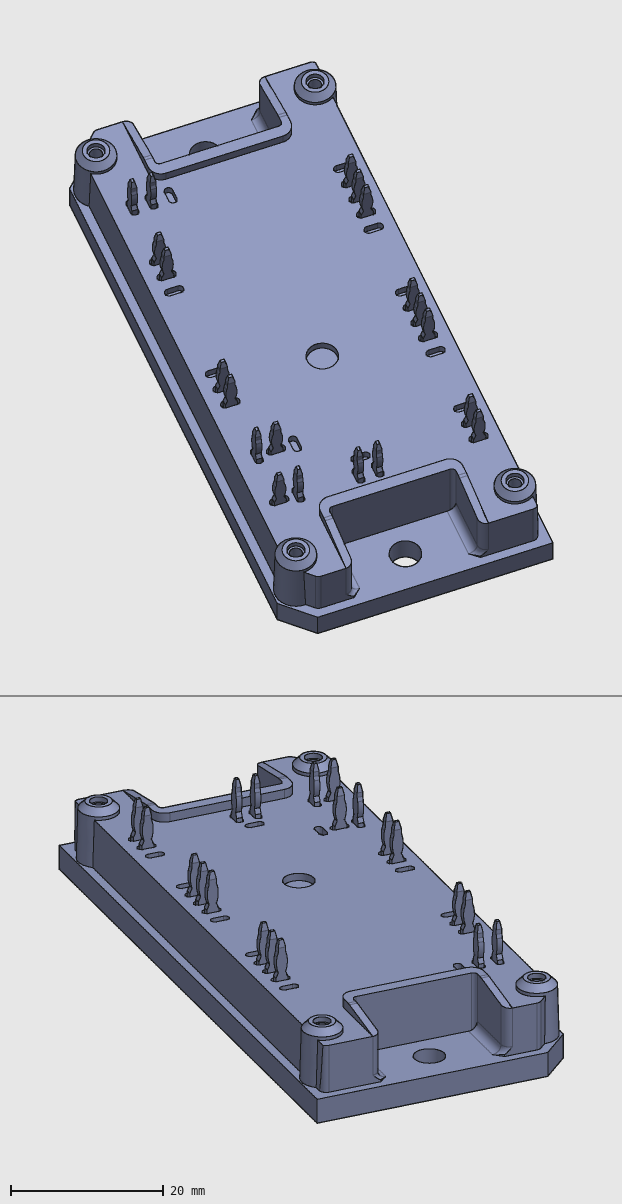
import cadquery as cq
import math

LENGTH = 82.0
WIDTH = 37.4
PLATE_Z = 3.5
PLATE_CHAMFER = 4.1
HOLE_DIAMETER = 4.3
HOLE_X = 35.5

HOUSING_LENGTH = 79.45
HOUSING_WIDTH_BASE = 34.8
HOUSING_WIDTH_TOP = 34.3
HOUSING_Z = 10.4
HOUSING_CHAMFER = 3.4
HOUSING_CORNER_RADIUS = 1.0
DIMPLE_X = 6.0
DIMPLE_DIAMETER = HOLE_DIAMETER
DIMPLE_DEPTH = 1.1

BOSS_X = HOLE_X
BOSS_Y = 15.5
BOSS_BASE_DIAMETER = 5.9
BOSS_TOP_DIAMETER = 5.5
BOSS_SHOULDER_Z = 10.9
BOSS_RIM_DIAMETER = 3.6
BOSS_Z = 11.9
BOSS_BORE_DIAMETER = 2.4
BOSS_BORE_DEPTH = 0.7
BOSS_PILOT_DIAMETER = 1.7
BOSS_PILOT_DEPTH = 4.9

RECESS_X = 30.5
RECESS_HALF_WIDTH = 8.9
RECESS_CORNER_RADIUS = 0.615
MOUTH_RADIUS = 1.15
GAP_WIDTH = 0.5
SKIRT_RADIUS = 1.2

COLLAR_Z = 11.7
COLLAR_BACK_WIDTH = 1.7
COLLAR_SIDE_WIDTH = 1.15
COLLAR_RADIUS = 1.8
RAMP_START_X = 32.1
RAMP_BLEND_RADIUS = 2.9

PIN_PITCH = 2.7
PIN_Z = 16.2
PIN_THICKNESS = 0.8
PIN_FOOT_WIDTH = 1.7
PIN_NECK_WIDTH = 1.1
PIN_BODY_WIDTH = 1.55
PIN_SHOULDER_WIDTH = 1.4
PIN_TIP_WIDTH = 0.6
PIN_TIP_THICKNESS = 0.4
PIN_FOOT_HEIGHT = 0.4
PIN_NECK_HEIGHT = 1.15
PIN_BODY_HEIGHT = 2.4
PIN_SHOULDER_HEIGHT = 3.5
PIN_STEM_HEIGHT = 4.1
PIN_TIP_HEIGHT = 4.75
SLOT_LENGTH = 2.6
SLOT_WIDTH = 1.15
SLOT_DEPTH = 1.1

ROW_Y = 14.1
LEFT_TOP_ROW_X = -22.0
MIDDLE_TOP_ROW_X = 0
LEFT_BOTTOM_ROW_X = -16.65
MIDDLE_BOTTOM_ROW_X = 3.3
COLUMN_X = 26.1
INNER_COLUMN_X = 18.1
SIDE_PIN_Y = -0.2

slots = []


def add_row(first_x, y, filled):
    """Add slots side by side along +X; `filled` tells which of them hold a pin."""
    for index, has_pin in enumerate(filled):
        slots.append((first_x + index * PIN_PITCH, y, 90, has_pin))


add_row(LEFT_TOP_ROW_X, ROW_Y, (False, True, True, True, False))
add_row(MIDDLE_TOP_ROW_X, ROW_Y, (False, True, True, True, False))
add_row(COLUMN_X - 2 * PIN_PITCH, ROW_Y, (False, True, True))
add_row(LEFT_BOTTOM_ROW_X, -ROW_Y, (True, True, False))
add_row(MIDDLE_BOTTOM_ROW_X, -ROW_Y, (False, True, True))

SECOND_Y = -ROW_Y + PIN_PITCH
THIRD_Y = SECOND_Y + PIN_PITCH
slots += [
    (-COLUMN_X, -ROW_Y, 0, True),
    (-COLUMN_X, SECOND_Y, 0, True),
    (-COLUMN_X, THIRD_Y, 0, False),
    (INNER_COLUMN_X, -ROW_Y, 0, True),
    (INNER_COLUMN_X, SECOND_Y, 90, True),
    (INNER_COLUMN_X, THIRD_Y, 0, False),
    (COLUMN_X, -ROW_Y, 90, True),
    (COLUMN_X, SECOND_Y, 0, True),
    (COLUMN_X, SIDE_PIN_Y, 0, True),
    (COLUMN_X, SIDE_PIN_Y - PIN_PITCH, 0, True),
    (COLUMN_X - PIN_PITCH, SIDE_PIN_Y - PIN_PITCH / 2, 90, False),
]


def both_ends(shape):
    """The shape together with its mirror image at the other end of the part."""
    return shape.union(shape.mirror("YZ"))


def clipped_rectangle(length, width, chamfer, height):
    """Block with its two -Y corners cut at 45 degrees."""
    block = cq.Workplane("XY").box(length, width, height, centered=(True, True, False))
    return block.edges("|Z and <Y").chamfer(chamfer)


def make_housing():
    block = clipped_rectangle(HOUSING_LENGTH, HOUSING_WIDTH_BASE, HOUSING_CHAMFER, HOUSING_Z)
    block = block.edges("|Z and (<X or >X)").fillet(HOUSING_CORNER_RADIUS)
    taper = (
        cq.Workplane("YZ")
        .moveTo(-HOUSING_WIDTH_BASE / 2, PLATE_Z)
        .lineTo(HOUSING_WIDTH_BASE / 2, PLATE_Z)
        .lineTo(HOUSING_WIDTH_TOP / 2, HOUSING_Z)
        .lineTo(-HOUSING_WIDTH_TOP / 2, HOUSING_Z)
        .close()
        .extrude(HOUSING_LENGTH / 2, both=True)
    )
    return block.intersect(taper)


def make_collar():
    """Rim around the -X recess, level at the back and sloping down towards the end."""
    half_width = RECESS_HALF_WIDTH + COLLAR_SIDE_WIDTH
    inner_x = -RECESS_X + COLLAR_BACK_WIDTH
    outer_x = -HOUSING_LENGTH / 2
    slab = (
        cq.Workplane("XY", origin=(0, 0, PLATE_Z))
        .moveTo(outer_x, -half_width)
        .lineTo(inner_x, -half_width)
        .lineTo(inner_x, half_width)
        .lineTo(outer_x, half_width)
        .close()
        .extrude(COLLAR_Z - PLATE_Z)
        .edges("|Z and >X")
        .fillet(COLLAR_RADIUS)
    )
    side = (
        cq.Workplane("XZ")
        .moveTo(outer_x, PLATE_Z)
        .lineTo(inner_x, PLATE_Z)
        .lineTo(inner_x, COLLAR_Z)
        .lineTo(-RAMP_START_X, COLLAR_Z)
        .lineTo(outer_x, HOUSING_Z)
        .close()
        .extrude(half_width, both=True)
        .edges(cq.NearestToPointSelector((-RAMP_START_X, 0, COLLAR_Z)))
        .fillet(RAMP_BLEND_RADIUS)
    )
    return slab.intersect(side)


def make_recess():
    """Space cut through the housing and collar at the -X end, with rounded mouth corners."""
    end_x = -HOUSING_LENGTH / 2
    mouth = RECESS_HALF_WIDTH + MOUTH_RADIUS
    arc_x = end_x + MOUTH_RADIUS
    mid = MOUTH_RADIUS * math.sqrt(0.5)
    outline = (
        cq.Workplane("XY", origin=(0, 0, PLATE_Z))
        .moveTo(end_x, -mouth)
        .threePointArc((arc_x - mid, -mouth + mid), (arc_x, -RECESS_HALF_WIDTH))
        .lineTo(-RECESS_X, -RECESS_HALF_WIDTH)
        .lineTo(-RECESS_X, RECESS_HALF_WIDTH)
        .lineTo(arc_x, RECESS_HALF_WIDTH)
        .threePointArc((arc_x - mid, mouth - mid), (end_x, mouth))
        .close()
    )
    return outline.extrude(COLLAR_Z).edges("|Z and >X").fillet(RECESS_CORNER_RADIUS)


def make_gap():
    """Narrow opening through the plate along the back of the -X recess."""
    strip = (
        cq.Workplane("XY", origin=(-RECESS_X - GAP_WIDTH / 2, 0, 0))
        .rect(GAP_WIDTH, 2 * RECESS_HALF_WIDTH)
        .extrude(PLATE_Z)
    )
    return strip.intersect(make_recess().translate((0, 0, -PLATE_Z)))


def make_skirt():
    """Fillet at the foot of the +Y side wall of the -X recess, carried round the mouth corner."""
    arc_x = -HOUSING_LENGTH / 2 + MOUTH_RADIUS
    arc_y = RECESS_HALF_WIDTH + MOUTH_RADIUS
    straight_length = -RECESS_X - GAP_WIDTH - arc_x
    foot = MOUTH_RADIUS + SKIRT_RADIUS
    sag = SKIRT_RADIUS * math.sqrt(0.5)
    top = PLATE_Z + SKIRT_RADIUS
    section = (
        cq.Workplane(cq.Plane((arc_x, arc_y, 0), (0, -1, 0), (-1, 0, 0)))
        .moveTo(0, PLATE_Z)
        .lineTo(foot, PLATE_Z)
        .threePointArc((foot - sag, top - sag), (MOUTH_RADIUS, top))
        .lineTo(0, top)
        .close()
    )
    corner_limit = (
        cq.Workplane("XY")
        .moveTo(arc_x, arc_y)
        .lineTo(arc_x - MOUTH_RADIUS, arc_y)
        .lineTo(arc_x - MOUTH_RADIUS, RECESS_HALF_WIDTH)
        .lineTo(arc_x, RECESS_HALF_WIDTH - SKIRT_RADIUS)
        .close()
        .extrude(HOUSING_Z)
    )
    straight = section.extrude(-straight_length)
    end_wire = straight.faces("<X").wires().toPending()
    round_foot = end_wire.revolve(360, (0, 0, 0), (0, 1, 0), combine=False)
    return straight.union(round_foot.intersect(corner_limit))


def make_boss():
    return (
        cq.Workplane("XZ")
        .moveTo(0, PLATE_Z)
        .lineTo(BOSS_BASE_DIAMETER / 2, PLATE_Z)
        .lineTo(BOSS_TOP_DIAMETER / 2, BOSS_SHOULDER_Z)
        .lineTo(BOSS_RIM_DIAMETER / 2, BOSS_Z)
        .lineTo(0, BOSS_Z)
        .close()
        .revolve(360, (0, 0, 0), (0, 1, 0))
    )


def make_pin():
    """Flat press-fit pin standing on the slot floor, with its width along X."""
    shank = (
        cq.Workplane("XZ")
        .moveTo(-PIN_FOOT_WIDTH / 2, -SLOT_DEPTH)
        .lineTo(PIN_FOOT_WIDTH / 2, -SLOT_DEPTH)
        .lineTo(PIN_FOOT_WIDTH / 2, PIN_FOOT_HEIGHT)
        .lineTo(PIN_NECK_WIDTH / 2, PIN_NECK_HEIGHT)
        .threePointArc(
            (PIN_BODY_WIDTH / 2, PIN_BODY_HEIGHT), (PIN_SHOULDER_WIDTH / 2, PIN_SHOULDER_HEIGHT)
        )
        .lineTo(PIN_NECK_WIDTH / 2, PIN_STEM_HEIGHT)
        .lineTo(PIN_NECK_WIDTH / 2, PIN_TIP_HEIGHT)
        .lineTo(-PIN_NECK_WIDTH / 2, PIN_TIP_HEIGHT)
        .lineTo(-PIN_NECK_WIDTH / 2, PIN_STEM_HEIGHT)
        .lineTo(-PIN_SHOULDER_WIDTH / 2, PIN_SHOULDER_HEIGHT)
        .threePointArc(
            (-PIN_BODY_WIDTH / 2, PIN_BODY_HEIGHT), (-PIN_NECK_WIDTH / 2, PIN_NECK_HEIGHT)
        )
        .lineTo(-PIN_FOOT_WIDTH / 2, PIN_FOOT_HEIGHT)
        .close()
        .extrude(PIN_THICKNESS / 2, both=True)
    )
    tip = (
        cq.Workplane("XY", origin=(0, 0, PIN_TIP_HEIGHT))
        .rect(PIN_NECK_WIDTH, PIN_THICKNESS)
        .workplane(offset=PIN_Z - HOUSING_Z - PIN_TIP_HEIGHT)
        .rect(PIN_TIP_WIDTH, PIN_TIP_THICKNESS)
        .loft()
    )
    return shank.union(tip)


boss_points = [(x, y) for x in (-BOSS_X, BOSS_X) for y in (-BOSS_Y, BOSS_Y)]

body = make_housing().union(both_ends(make_collar())).cut(both_ends(make_recess()))
plate = clipped_rectangle(LENGTH, WIDTH, PLATE_CHAMFER, PLATE_Z)
plate = plate.cut(both_ends(make_gap()))
body = body.union(plate)

skirt = make_skirt()
body = body.union(both_ends(skirt.union(skirt.mirror("XZ"))))

mounting_points = [(-HOLE_X, 0), (HOLE_X, 0)]
mounting_holes = (
    cq.Workplane("XY").pushPoints(mounting_points).circle(HOLE_DIAMETER / 2).extrude(PLATE_Z)
)
body = body.cut(mounting_holes)

dimple = cq.Workplane("XY", origin=(DIMPLE_X, 0, HOUSING_Z)).circle(DIMPLE_DIAMETER / 2)
body = body.cut(dimple.extrude(-DIMPLE_DEPTH))

boss = make_boss()
for x, y in boss_points:
    body = body.union(boss.translate((x, y, 0)))
boss_tops = cq.Workplane("XY", origin=(0, 0, BOSS_Z)).pushPoints(boss_points)
body = body.cut(boss_tops.circle(BOSS_BORE_DIAMETER / 2).extrude(-BOSS_BORE_DEPTH))
body = body.cut(boss_tops.circle(BOSS_PILOT_DIAMETER / 2).extrude(-BOSS_PILOT_DEPTH))

pin = make_pin()
for x, y, angle, has_pin in slots:
    slot = cq.Workplane("XY", origin=(x, y, HOUSING_Z)).slot2D(SLOT_LENGTH, SLOT_WIDTH, angle)
    body = body.cut(slot.extrude(-SLOT_DEPTH))
    if has_pin:
        body = body.union(pin.rotate((0, 0, 0), (0, 0, 1), angle).translate((x, y, HOUSING_Z)))

result = body